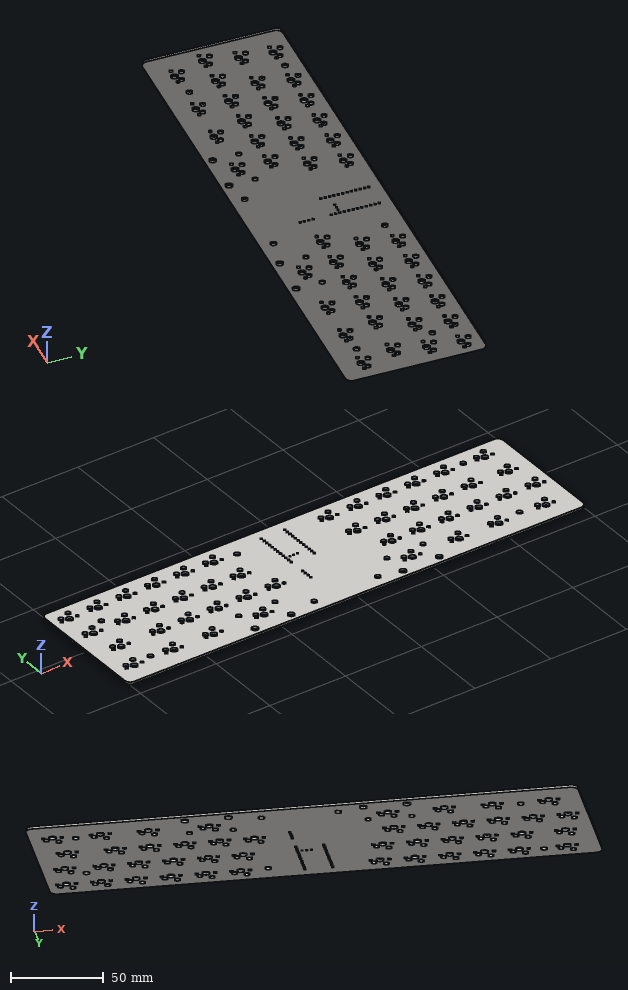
import cadquery as cq


BOARD_LENGTH = 302.5
BOARD_WIDTH = 81.5
BOARD_THICKNESS = 1.6
CORNER_RADIUS = 4.0

KEY_UNIT = 19.0
KEY_FIELD_MARGIN = 1.15
KEY_FIELD_LEFT = KEY_FIELD_MARGIN - BOARD_LENGTH / 2
KEY_FIELD_RIGHT = -KEY_FIELD_LEFT
KEY_FIELD_CENTRE_Y = 0.75

LEFT_ROWS = [
    [1, 1, 1, 1, 1, 1],
    [1.25, 1, 1, 1, 1, 1],
    [1.75, 1, 1, 1, 1, 1],
    [1.25, 1.5, 1.25, 2.25],
]
RIGHT_ROWS = [
    [1, 1, 1, 1, 1, 1.75],
    [1, 1, 1, 1, 1, 1.5],
    [1, 1, 1, 1, 1, 1],
    [2, 1.25, 1.5, 1.75],
]
STABILISED_WIDTH = 2

PIN_PITCH = 2.55

SWITCH_POST_DIAMETER = 4.0
SWITCH_PEG_DIAMETER = 1.75
SWITCH_PEG_OFFSET = 2 * PIN_PITCH
SWITCH_PIN_DIAMETER = 3.0
SWITCH_PIN_OFFSETS = [(-1.5 * PIN_PITCH, PIN_PITCH), (PIN_PITCH, 2 * PIN_PITCH)]

STABILISER_HALF_SPAN = 4.7 * PIN_PITCH
STABILISER_BACK_DIAMETER = 3.0
STABILISER_BACK_OFFSET = 7.0
STABILISER_FRONT_DIAMETER = 4.0
STABILISER_FRONT_OFFSET = -8.2

PIN_DIAMETER = 1.1
CONTROLLER_PIN_COUNT = 12
CONTROLLER_CENTRE_X = -3.3
CONTROLLER_SPAN = 6 * PIN_PITCH
CONTROLLER_LEFT_X = CONTROLLER_CENTRE_X - CONTROLLER_SPAN / 2
CONTROLLER_BACK_Y = 33.5
DISPLAY_PIN_COUNT = 4
DISPLAY_BACK_Y = -4.8
SMALL_PIN_DIAMETER = 0.82
SMALL_PIN_COUNT = 3
SMALL_ROW_LEFT_X = CONTROLLER_LEFT_X + PIN_PITCH
SMALL_ROW_Y = CONTROLLER_BACK_Y - 9 * PIN_PITCH

SCREW_DIAMETER = 3.3
SCREW_CENTRES = [
    (-30.2, 29.0),
    (-127.5, 17.8),
    (-125.8, -25.5),
    (-23.0, -32.7),
    (19.0, -32.7),
    (117.5, -25.5),
    (120.3, 31.0),
]


def row_keys(widths, left_x, y):
    """Centre and width of each key in a row that starts at left_x."""
    keys = []
    for width in widths:
        keys.append((left_x + width * KEY_UNIT / 2, y, width))
        left_x += width * KEY_UNIT
    return keys


def all_keys():
    keys = []
    back_row_y = KEY_FIELD_CENTRE_Y + (len(LEFT_ROWS) - 1) * KEY_UNIT / 2
    for row, (left_widths, right_widths) in enumerate(zip(LEFT_ROWS, RIGHT_ROWS)):
        y = back_row_y - row * KEY_UNIT
        right_start = KEY_FIELD_RIGHT - sum(right_widths) * KEY_UNIT
        keys += row_keys(left_widths, KEY_FIELD_LEFT, y)
        keys += row_keys(right_widths, right_start, y)
    return keys


def pin_line(start_x, start_y, step_x, step_y, count):
    return [(start_x + i * step_x, start_y + i * step_y) for i in range(count)]


def around(centres, offsets):
    return [(x + dx, y + dy) for x, y in centres for dx, dy in offsets]


def drill(board, centres, diameter):
    """Through holes of one diameter at the given XY points."""
    holes = cq.Workplane("XY").pushPoints(centres).circle(diameter / 2).extrude(BOARD_THICKNESS)
    return board.cut(holes)


def make_board():
    blank = cq.Workplane("XY").box(
        BOARD_LENGTH, BOARD_WIDTH, BOARD_THICKNESS, centered=(True, True, False)
    )
    return blank.edges("|Z").fillet(CORNER_RADIUS)


def drill_switches(board, keys):
    centres = [(x, y) for x, y, width in keys]
    pegs = [(-SWITCH_PEG_OFFSET, 0), (SWITCH_PEG_OFFSET, 0)]
    board = drill(board, centres, SWITCH_POST_DIAMETER)
    board = drill(board, around(centres, SWITCH_PIN_OFFSETS), SWITCH_PIN_DIAMETER)
    return drill(board, around(centres, pegs), SWITCH_PEG_DIAMETER)


def drill_stabilisers(board, keys):
    centres = [(x, y) for x, y, width in keys if width >= STABILISED_WIDTH]
    sides = (-STABILISER_HALF_SPAN, STABILISER_HALF_SPAN)
    back = [(dx, STABILISER_BACK_OFFSET) for dx in sides]
    front = [(dx, STABILISER_FRONT_OFFSET) for dx in sides]
    board = drill(board, around(centres, back), STABILISER_BACK_DIAMETER)
    return drill(board, around(centres, front), STABILISER_FRONT_DIAMETER)


def drill_electronics(board):
    pins = pin_line(CONTROLLER_LEFT_X, DISPLAY_BACK_Y, 0, -PIN_PITCH, DISPLAY_PIN_COUNT)
    for x in (CONTROLLER_LEFT_X, CONTROLLER_LEFT_X + CONTROLLER_SPAN):
        pins += pin_line(x, CONTROLLER_BACK_Y, 0, -PIN_PITCH, CONTROLLER_PIN_COUNT)
    small_pins = pin_line(SMALL_ROW_LEFT_X, SMALL_ROW_Y, PIN_PITCH, 0, SMALL_PIN_COUNT)
    board = drill(board, pins, PIN_DIAMETER)
    return drill(board, small_pins, SMALL_PIN_DIAMETER)


key_positions = all_keys()
result = make_board()
result = drill_switches(result, key_positions)
result = drill_stabilisers(result, key_positions)
result = drill_electronics(result)
result = drill(result, SCREW_CENTRES, SCREW_DIAMETER)